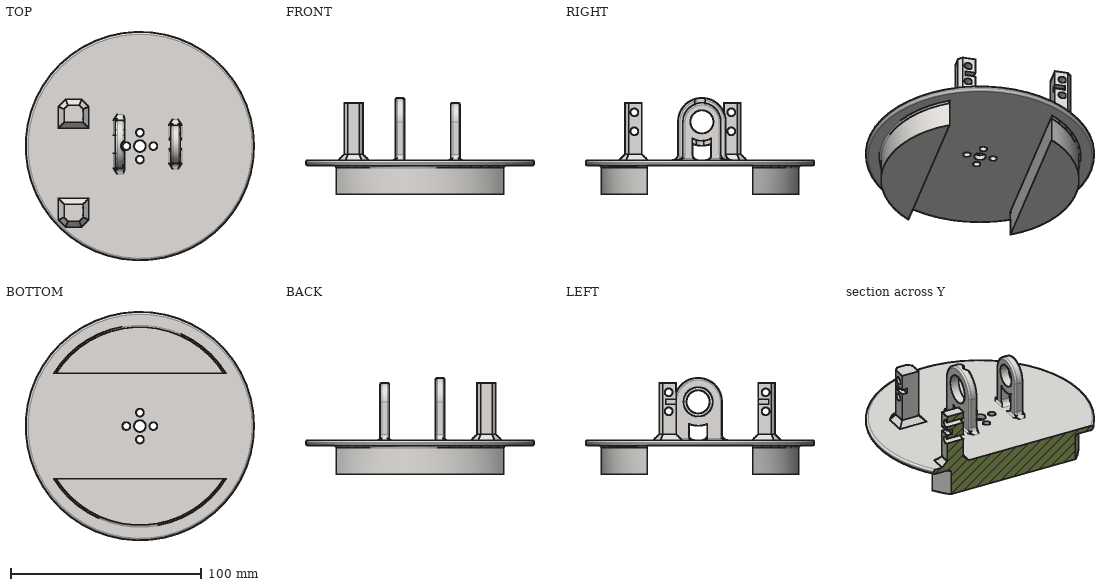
import cadquery as cq
import math

PLATE_DIAMETER = 120.0
PLATE_THICKNESS = 3.0
RIM_RADIUS = 1.2

SKIRT_RADIUS = 52.0
SKIRT_HEIGHT = 15.0
SKIRT_SLOT_WIDTH = 55.2
SMALL_FILLET = 1.0
PLATE_TOP = SKIRT_HEIGHT + PLATE_THICKNESS

CENTER_HOLE_DIAMETER = 6.0
SCREW_HOLE_DIAMETER = 4.0
SCREW_CIRCLE_RADIUS = 7.1
ACCESS_TOP_DIAMETER = 5.8

AXIS_HEIGHT = 20.0
POST_HEIGHT = 30.0
FLARE = 3.0

POST_SIZE_X = 10.0
POST_SIZE_Y = 9.0
POST_CENTER_X = -34.8
POST_PAIR_CENTER_Y = -9.0
POST_SPACING = 52.0
POST_CHAMFER = 2.0
POST_HOLE_PITCH = 10.0
POST_HOLE_INSET = 4.0
POST_SLOT_DEPTH = 3.0
POST_SLOT_LENGTH = 5.5
POST_SLOT_HEIGHT = 2.5

BRACKET_THICKNESS = 4.9
BRACKET_CENTER_Y = 1.0
LARGE_BRACKET_X = -10.5
LARGE_RADIUS = 12.6
LARGE_BORE = 15.4
LARGE_GAP = 9.4
SMALL_BRACKET_X = 18.6
SMALL_RADIUS = POST_HEIGHT - AXIS_HEIGHT
SMALL_BORE = 12.0
SMALL_GAP = 10.0
ROOT_DEPTH = 2.4
ROOT_LENGTH = 1.2


def circle_point(radius, angle, center=(0.0, 0.0)):
    """Point at the given angle in degrees on a circle."""
    turn = math.radians(angle)
    return (center[0] + radius * math.cos(turn), center[1] + radius * math.sin(turn))


def plate_with_skirt():
    plate = cq.Workplane("XY", origin=(0, 0, SKIRT_HEIGHT)).circle(PLATE_DIAMETER / 2)
    plate = plate.extrude(PLATE_THICKNESS).edges().fillet(RIM_RADIUS)
    fillet_start = SKIRT_HEIGHT - SMALL_FILLET
    fillet_center = (SKIRT_RADIUS + SMALL_FILLET, fillet_start)
    skirt = (
        cq.Workplane("XZ")
        .lineTo(SKIRT_RADIUS, 0)
        .lineTo(SKIRT_RADIUS, fillet_start)
        .threePointArc(circle_point(SMALL_FILLET, 135, fillet_center), (fillet_center[0], SKIRT_HEIGHT))
        .lineTo(0, SKIRT_HEIGHT)
        .close()
        .revolve(360, (0, 0, 0), (0, 1, 0))
    )
    slot = cq.Workplane("XY").rect(PLATE_DIAMETER, SKIRT_SLOT_WIDTH).extrude(SKIRT_HEIGHT)
    return plate.union(skirt.cut(slot))


def post_section(center_y, side, growth):
    """Post outline on the plate, with every side moved outwards by the growth."""
    half_x = POST_SIZE_X / 2 + growth
    half_y = side * (POST_SIZE_Y / 2 + growth)
    chamfer = POST_CHAMFER + growth * (2 - math.sqrt(2))
    chamfer_y = half_y - side * chamfer
    outline = [
        (-half_x, -half_y),
        (half_x, -half_y),
        (half_x, chamfer_y),
        (half_x - chamfer, half_y),
        (chamfer - half_x, half_y),
        (-half_x, chamfer_y),
    ]
    return cq.Workplane("XY", origin=(POST_CENTER_X, center_y, PLATE_TOP)).polyline(outline).close()


def post(side):
    """Post on the +Y (side = 1) or -Y (side = -1) end, chamfered on its outer corners."""
    center_y = POST_PAIR_CENTER_Y + side * POST_SPACING / 2
    inner_y = center_y - side * POST_SIZE_Y / 2
    low_x = POST_CENTER_X - POST_SIZE_X / 2
    shaft = post_section(center_y, side, 0).extrude(POST_HEIGHT)
    foot = post_section(center_y, side, FLARE).extrude(FLARE, taper=45)

    hole_y = inner_y + side * POST_HOLE_INSET
    axis_z = PLATE_TOP + AXIS_HEIGHT
    hole_centers = [(hole_y, axis_z + offset * POST_HOLE_PITCH / 2) for offset in (-1, 1)]
    holes = cq.Workplane("YZ", origin=(low_x, 0, 0)).pushPoints(hole_centers)
    holes = holes.circle(SCREW_HOLE_DIAMETER / 2).extrude(POST_SIZE_X)
    slot = cq.Workplane("XY").box(POST_SLOT_DEPTH, POST_SLOT_LENGTH, POST_SLOT_HEIGHT)
    slot = slot.translate((low_x + POST_SLOT_DEPTH / 2, inner_y + side * POST_SLOT_LENGTH / 2, axis_z))
    return shaft.union(foot).cut(holes).cut(slot)


def flared_arch(radius, extra_thickness=0):
    """Solid arch whose ends flare out to the plate; the plate top is at height 0."""
    tip = radius + FLARE
    root_end = tip + ROOT_LENGTH
    return (
        cq.Workplane("YZ", origin=(-BRACKET_THICKNESS / 2, 0, 0))
        .moveTo(-root_end, -ROOT_DEPTH)
        .lineTo(-root_end, 0)
        .lineTo(-tip, 0)
        .threePointArc(circle_point(FLARE, -45, (-tip, FLARE)), (-radius, FLARE))
        .lineTo(-radius, AXIS_HEIGHT)
        .threePointArc((0, AXIS_HEIGHT + radius), (radius, AXIS_HEIGHT))
        .lineTo(radius, FLARE)
        .threePointArc(circle_point(FLARE, 225, (tip, FLARE)), (tip, 0))
        .lineTo(root_end, 0)
        .lineTo(root_end, -ROOT_DEPTH)
        .close()
        .extrude(BRACKET_THICKNESS + extra_thickness)
        .translate((-extra_thickness / 2, 0, 0))
    )


def face_fillet(radius, side):
    """Concave fillet between the plate and one face of a bracket, side = 1 for +X."""
    tip = radius + FLARE
    face_x = side * BRACKET_THICKNESS / 2
    toe_x = face_x + side * SMALL_FILLET
    flat_x = face_x - side * SMALL_FILLET
    strip = (
        cq.Workplane("XZ", origin=(0, tip, 0))
        .moveTo(0, 0)
        .lineTo(toe_x, 0)
        .threePointArc(
            circle_point(SMALL_FILLET, 270 - side * 45, (toe_x, SMALL_FILLET)),
            (face_x, SMALL_FILLET),
        )
        .lineTo(0, SMALL_FILLET)
        .close()
        .extrude(2 * tip)
    )
    plan = [(0, -tip), (flat_x, -tip), (toe_x, -radius), (toe_x, radius), (flat_x, tip), (0, tip)]
    corner_trim = cq.Workplane("XY").polyline(plan).close().extrude(SMALL_FILLET)
    end_trim = flared_arch(radius, 2 * SMALL_FILLET)
    return strip.intersect(corner_trim).intersect(end_trim)


def gap_between_legs(radius, width, foot_fillet):
    """Opening under the arch, with its ceiling concentric to the bore and optional filleted feet."""
    half = width / 2
    ceiling = AXIS_HEIGHT - math.sqrt(radius**2 - half**2)
    toe = half - foot_fillet
    gap = cq.Workplane("YZ", origin=(-BRACKET_THICKNESS, 0, 0)).moveTo(-toe, 0)
    if foot_fillet:
        gap = gap.threePointArc(circle_point(foot_fillet, 225, (-toe, foot_fillet)), (-half, foot_fillet))
    gap = gap.lineTo(-half, ceiling).threePointArc((0, AXIS_HEIGHT - radius), (half, ceiling))
    gap = gap.lineTo(half, foot_fillet)
    if foot_fillet:
        gap = gap.threePointArc(circle_point(foot_fillet, -45, (toe, foot_fillet)), (toe, 0))
    return gap.close().extrude(2 * BRACKET_THICKNESS)


def bracket(center_x, radius, bore, gap_width, gap_fillet, filleted_sides):
    body = flared_arch(radius)
    body = body.faces("<X or >X").edges().fillet(SMALL_FILLET)
    for side in filleted_sides:
        body = body.union(face_fillet(radius, side))
    body = body.cut(gap_between_legs(radius, gap_width, gap_fillet))
    bore_tool = cq.Workplane("YZ", origin=(-BRACKET_THICKNESS, 0, AXIS_HEIGHT)).circle(bore / 2)
    body = body.cut(bore_tool.extrude(2 * BRACKET_THICKNESS))
    return body.translate((center_x, BRACKET_CENTER_Y, PLATE_TOP))


def plate_holes():
    holes = cq.Workplane("XY").circle(CENTER_HOLE_DIAMETER / 2).extrude(PLATE_TOP)
    screws = cq.Workplane("XY").polarArray(SCREW_CIRCLE_RADIUS, 0, 360, 4)
    return holes.union(screws.circle(SCREW_HOLE_DIAMETER / 2).extrude(PLATE_TOP))


def screw_access():
    """Upright cone above one screw hole, widening upwards and biting into the large bracket."""
    height = AXIS_HEIGHT + LARGE_RADIUS
    bottom_radius = SCREW_HOLE_DIAMETER / 2
    top_radius = ACCESS_TOP_DIAMETER / 2
    base = cq.Vector(-SCREW_CIRCLE_RADIUS, 0, PLATE_TOP)
    return cq.Workplane(cq.Solid.makeCone(bottom_radius, top_radius, height, base))


large_bracket = bracket(LARGE_BRACKET_X, LARGE_RADIUS, LARGE_BORE, LARGE_GAP, 0, [-1])
small_bracket = bracket(SMALL_BRACKET_X, SMALL_RADIUS, SMALL_BORE, SMALL_GAP, FLARE, [-1, 1])

result = plate_with_skirt().union(large_bracket).union(small_bracket)
for post_side in (-1, 1):
    result = result.union(post(post_side))
result = result.cut(plate_holes()).cut(screw_access())